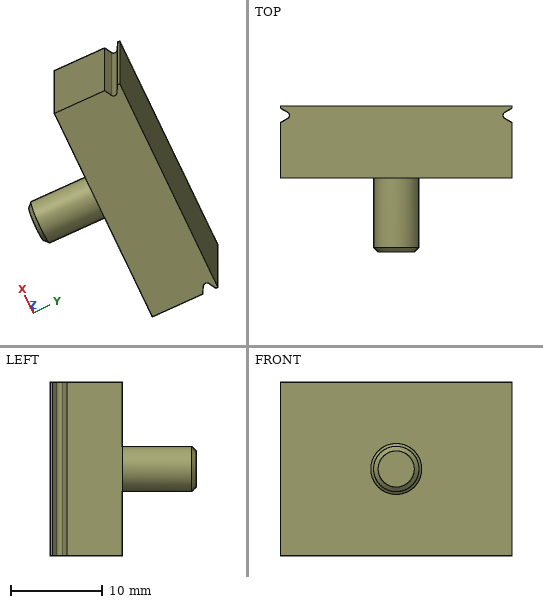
import cadquery as cq
import math

block_width = 25.4
block_depth = 7.92
block_height = 19.05

groove_center_y = -1.05
groove_half_opening = 0.8
groove_half_angle = math.radians(30)
groove_root_radius = 0.38

total_depth = 16.03
pin_radius = 2.5
tip_chamfer = 0.5
shank_radius = 2.8
shoulder_recess = 1.02
shoulder_length = shank_radius - pin_radius
bore_depth = 3.8


def make_groove(side):
    """Cutter for the groove on one side: -1 for -X, +1 for +X."""
    apex_depth = groove_half_opening / math.tan(groove_half_angle)
    root_center_depth = apex_depth - groove_root_radius / math.sin(groove_half_angle)
    tangent_depth = root_center_depth + groove_root_radius * math.sin(groove_half_angle)
    tangent_offset = groove_root_radius * math.cos(groove_half_angle)

    def point(depth, offset):
        return (side * (block_width / 2 - depth), groove_center_y + offset)

    return (
        cq.Workplane("XY", origin=(0, 0, -block_height / 2))
        .moveTo(*point(0, groove_half_opening))
        .lineTo(*point(tangent_depth, tangent_offset))
        .threePointArc(
            point(root_center_depth + groove_root_radius, 0),
            point(tangent_depth, -tangent_offset),
        )
        .lineTo(*point(0, -groove_half_opening))
        .close()
        .extrude(block_height)
    )


def make_block():
    """Rectangular block with two side grooves and a blind bore in its front face."""
    block = cq.Workplane("XY").box(block_width, block_depth, block_height)
    block = block.translate((0, -block_depth / 2, 0))
    for side in (-1, 1):
        block = block.cut(make_groove(side))
    bore = (
        cq.Workplane("XZ", origin=(0, -block_depth + bore_depth, 0))
        .circle(shank_radius)
        .extrude(bore_depth)
    )
    return block.cut(bore)


def make_stud():
    """Stepped stud revolved about the Y axis, with a conical shoulder and a chamfered tip."""
    shoulder_y = -block_depth + shoulder_recess
    profile = [
        (0, -block_depth + bore_depth),
        (shank_radius, -block_depth + bore_depth),
        (shank_radius, shoulder_y),
        (pin_radius, shoulder_y - shoulder_length),
        (pin_radius, -total_depth + tip_chamfer),
        (pin_radius - tip_chamfer, -total_depth),
        (0, -total_depth),
    ]
    return cq.Workplane("XY").polyline(profile).close().revolve(360, (0, 0, 0), (0, 1, 0))


block = make_block()
stud = make_stud()
result = cq.Compound.makeCompound([block.val(), stud.val()])